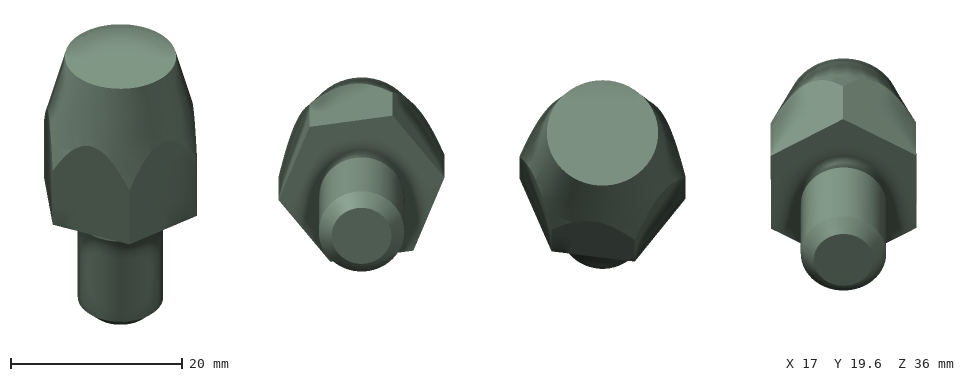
import cadquery as cq
import math

total_height = 36.0
head_bottom = 16.0

across_flats = 17.0
across_corners = across_flats / math.cos(math.radians(30))
top_radius = 6.5
taper_angle = 15.0

stud_radius = 5.0
tip_chamfer = 1.5
undercut_radius = 4.0
undercut_height = 3.0
undercut_fillet = 0.8
undercut_bottom = head_bottom - undercut_height


def make_head():
    """Hexagonal prism, corners on Y, trimmed by a cone that narrows to the flat top."""
    head_height = total_height - head_bottom
    prism = (
        cq.Workplane("XY", origin=(0, 0, head_bottom))
        .polygon(6, across_corners)
        .extrude(head_height)
        .rotate((0, 0, 0), (0, 0, 1), 30)
    )
    base_radius = top_radius + head_height * math.tan(math.radians(taper_angle))
    cone = (
        cq.Workplane("XZ")
        .moveTo(0, head_bottom)
        .lineTo(base_radius, head_bottom)
        .lineTo(top_radius, total_height)
        .lineTo(0, total_height)
        .close()
        .revolve(360, (0, 0, 0), (0, 1, 0))
    )
    return prism.intersect(cone)


def make_stud():
    """Turned stud: chamfered tip and an undercut with a concave fillet at each end."""
    fillet_edge = undercut_radius + undercut_fillet
    arc_inset = undercut_fillet * (1 - math.sqrt(0.5))
    return (
        cq.Workplane("XZ")
        .lineTo(stud_radius - tip_chamfer, 0)
        .lineTo(stud_radius, tip_chamfer)
        .lineTo(stud_radius, undercut_bottom)
        .lineTo(fillet_edge, undercut_bottom)
        .threePointArc(
            (undercut_radius + arc_inset, undercut_bottom + arc_inset),
            (undercut_radius, undercut_bottom + undercut_fillet),
        )
        .lineTo(undercut_radius, head_bottom - undercut_fillet)
        .threePointArc(
            (undercut_radius + arc_inset, head_bottom - arc_inset),
            (fillet_edge, head_bottom),
        )
        .lineTo(0, head_bottom)
        .close()
        .revolve(360, (0, 0, 0), (0, 1, 0))
    )


result = make_head().union(make_stud())